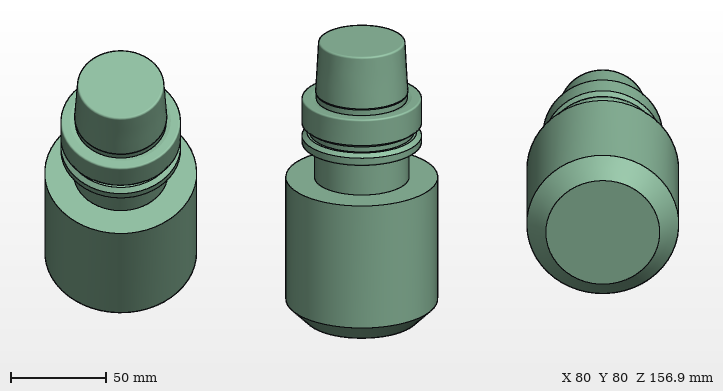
import cadquery as cq

total_height = 156.9
base_chamfer_height = 10.0
body_top = 79.5
flange_bottom = 98.8
flange_top = 124.9
groove_center = 106.8
relief_top = 127.5
taper_bottom = 128.3

body_radius = 40.0
base_radius = 30.0
neck_radius = 25.0
flange_radius = 31.5
groove_radius = 27.5
groove_shelf_radius = 28.9
recess_radius = 26.5
relief_radius = 24.0
taper_large_radius = 24.3
taper_small_radius = 22.8

neck_flare = 1.3
flange_rounding = 1.0
groove_half_opening = 3.6
groove_half_floor = 1.7
tip_rounding = 1.1
recess_depth = 0.5


def revolve_profile(points):
    """Revolve a closed outline of (radius, height) points about the Z axis."""
    return cq.Workplane("XZ").polyline(points).close().revolve(360, (0, 0, 0), (0, 1, 0))


def make_body():
    """Large cylinder with a conical lower edge."""
    return revolve_profile([
        (0, 0),
        (base_radius, 0),
        (body_radius, base_chamfer_height),
        (body_radius, body_top),
        (0, body_top),
    ])


def make_neck():
    """Narrow cylinder that flares out where it meets the flange."""
    return revolve_profile([
        (0, body_top),
        (neck_radius, body_top),
        (neck_radius, flange_bottom - neck_flare),
        (neck_radius + neck_flare, flange_bottom),
        (0, flange_bottom),
    ])


def make_flange():
    """Flange with rounded rims, a gripper groove and a shallow conical recess in its top face."""
    flange = revolve_profile([
        (0, flange_bottom),
        (flange_radius, flange_bottom),
        (flange_radius, flange_top),
        (0, flange_top),
    ]).faces("<Z or >Z").edges().fillet(flange_rounding)
    groove = revolve_profile([
        (flange_radius, groove_center - groove_half_opening),
        (groove_shelf_radius, groove_center - groove_half_floor),
        (groove_radius, groove_center - groove_half_floor),
        (groove_radius, groove_center + groove_half_floor),
        (groove_shelf_radius, groove_center + groove_half_floor),
        (flange_radius, groove_center + groove_half_opening),
    ])
    recess = revolve_profile([
        (relief_radius, flange_top - recess_depth),
        (recess_radius, flange_top),
        (relief_radius, flange_top),
    ])
    return flange.cut(groove).cut(recess)


def make_shank():
    """Tapered shank with a relieved root and a rounded tip."""
    shank = revolve_profile([
        (0, flange_top),
        (relief_radius, flange_top),
        (relief_radius, relief_top),
        (taper_large_radius, taper_bottom),
        (taper_small_radius, total_height),
        (0, total_height),
    ])
    return shank.faces(">Z").edges().fillet(tip_rounding)


result = make_body().union(make_neck()).union(make_flange()).union(make_shank())